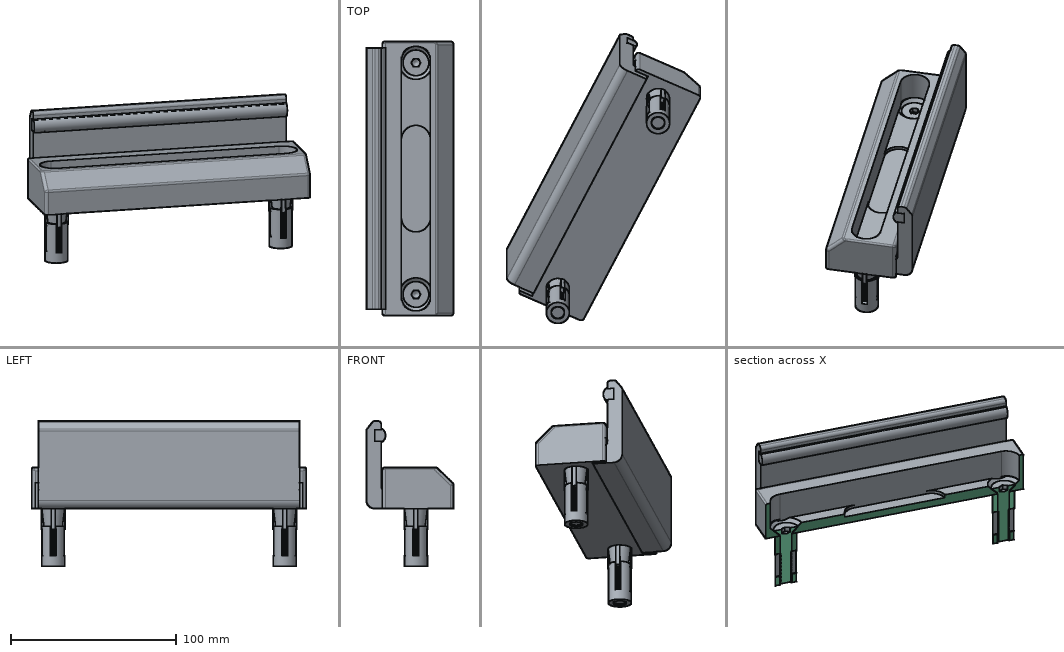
import cadquery as cq
import math

plate_length = 158.0
plate_height = 53.0
plate_thickness = 9.1
foot_height = 11.3
foot_reach = 18.0
inner_radius = 2.0
plate_foot_radius = 5.0
plate_top_radius = 2.0
chamfer_rise = 5.3
chamfer_run = 4.2

strip_height = 44.3
tenon_width = 7.0
tenon_depth = 4.0
strip_head_width = 8.6
strip_head_rise = 2.6

base_front = 9.5
base_length = 166.0
base_height = 25.0
base_back = 52.83
foot_recess_length = 162.0
foot_recess_height = 15.6
slope_run = 10.3
slope_drop = 10.0
edge_radius = 2.0
top_end_radius = 1.0

fixing_x = 30.0
fixing_spacing = 140.0
pocket_width = 17.6
pocket_depth = 18.0
countersink_radius = 10.0
recess_length = 64.4
recess_depth = 2.0
pocket_floor = base_height - pocket_depth

head_diameter = 15.57
screw_diameter = 8.0
thread_root_diameter = 6.8
thread_pitch = 1.25
screw_length = 39.0
hex_across_flats = 5.0
socket_depth = 3.0
clearance_diameter = 8.15
head_top = pocket_floor - (countersink_radius - head_diameter / 2)
head_bottom = head_top - (head_diameter - screw_diameter) / 2
screw_tip = head_top - screw_length

anchor_depth = 34.85
sleeve_diameter = 14.0
sleeve_bore = 11.5
sleeve_top = -10.5
slot_width = 3.3
slot_bottom = -28.4
fin_width = 2.5
fin_diameter = 14.4
cone_bottom = -12.5
fin_angles = (0, 90)


def make_plate():
    """Plate profile in XZ, extruded along Y, with the strip groove cut in its inner face."""
    profile = (
        cq.Workplane("XZ")
        .moveTo(0, 0)
        .lineTo(foot_reach, 0)
        .lineTo(foot_reach, foot_height)
        .lineTo(plate_thickness + inner_radius, foot_height)
        .radiusArc((plate_thickness, foot_height + inner_radius), inner_radius)
        .lineTo(plate_thickness, plate_height)
        .lineTo(chamfer_run, plate_height)
        .lineTo(0, plate_height - chamfer_rise)
        .close()
    )
    plate = profile.extrude(plate_length / 2, both=True)
    plate = plate.edges("|Y and <X and <Z").fillet(plate_foot_radius)
    upper_edges = cq.selectors.BoxSelector(
        (-1, -plate_length, plate_height - chamfer_rise - 1),
        (plate_thickness + 1, plate_length, plate_height + 1),
    )
    plate = plate.edges("|Y").edges(upper_edges).fillet(plate_top_radius)
    groove = cq.Workplane("XY").box(tenon_depth, plate_length, tenon_width).translate(
        (plate_thickness - tenon_depth / 2, 0, strip_height)
    )
    return plate.cut(groove)


def make_strip():
    """Rectangular tenon with a wider head bounded by one arc."""
    groove_floor = plate_thickness - tenon_depth
    half_tenon = tenon_width / 2
    half_head = strip_head_width / 2
    return (
        cq.Workplane("XZ")
        .moveTo(groove_floor, strip_height - half_tenon)
        .lineTo(plate_thickness, strip_height - half_tenon)
        .lineTo(plate_thickness, strip_height - half_head)
        .threePointArc(
            (plate_thickness + strip_head_rise, strip_height),
            (plate_thickness, strip_height + half_head),
        )
        .lineTo(plate_thickness, strip_height + half_tenon)
        .lineTo(groove_floor, strip_height + half_tenon)
        .close()
        .extrude(plate_length / 2, both=True)
    )


def make_base_blank():
    """Block with a sloped back edge and rounded edges everywhere but underneath."""
    slope_start = base_back - slope_run
    slope_end = base_height - slope_drop
    blank = (
        cq.Workplane("XZ")
        .moveTo(base_front, 0)
        .lineTo(base_back, 0)
        .lineTo(base_back, slope_end)
        .lineTo(slope_start, base_height)
        .lineTo(base_front, base_height)
        .close()
        .extrude(base_length / 2, both=True)
    )
    blank = blank.edges("(not |X) and (not <Z)").fillet(edge_radius)
    blank = blank.edges("(<Y or >Y) and >Z").fillet(top_end_radius)
    return blank


def make_base():
    """Base block with its long pocket, the central recess and the recess for the plate foot."""
    base = make_base_blank()
    pocket = (
        cq.Workplane("XY", origin=(fixing_x, 0, pocket_floor))
        .slot2D(fixing_spacing + 2 * countersink_radius, pocket_width, 90)
        .extrude(pocket_depth)
    )
    recess = (
        cq.Workplane("XY", origin=(fixing_x, 0, pocket_floor - recess_depth))
        .slot2D(recess_length, pocket_width, 90)
        .extrude(recess_depth)
    )
    foot_recess = cq.Workplane("XY").box(
        foot_reach - base_front, foot_recess_length, foot_recess_height, centered=(False, True, False)
    ).translate((base_front, 0, 0))
    return base.cut(pocket).cut(recess).cut(foot_recess)


def make_countersink():
    """45 degree countersink opening into the pocket floor, with a clearance hole below."""
    hole_radius = clearance_diameter / 2
    cone_end = pocket_floor - (countersink_radius - hole_radius)
    cutter = (
        cq.Workplane("XZ")
        .polyline([
            (0, 0),
            (hole_radius, 0),
            (hole_radius, cone_end),
            (countersink_radius, pocket_floor),
            (0, pocket_floor),
        ])
        .close()
        .revolve(360, (0, 0, 0), (0, 1, 0))
    )
    walls = cq.Workplane("XY").box(pocket_width, 2 * countersink_radius, 2 * base_height)
    return cutter.intersect(walls)


def make_screw():
    """Countersunk screw; the thread is a row of V grooves one pitch apart."""
    radius = screw_diameter / 2
    root = thread_root_diameter / 2
    points = [(0, head_top), (head_diameter / 2, head_top), (radius, head_bottom)]
    groove_count = math.floor((cone_bottom - screw_tip) / thread_pitch)
    for groove in range(groove_count):
        crest = cone_bottom - groove * thread_pitch
        points.append((radius, crest))
        points.append((root, crest - thread_pitch / 2))
    points += [(radius, cone_bottom - groove_count * thread_pitch), (radius, screw_tip), (0, screw_tip)]
    screw = cq.Workplane("XZ").polyline(points).close().revolve(360, (0, 0, 0), (0, 1, 0))
    corner_diameter = hex_across_flats / math.cos(math.pi / 6)
    socket = (
        cq.Workplane("XY", origin=(0, 0, head_top - socket_depth))
        .polygon(6, corner_diameter)
        .extrude(socket_depth)
    )
    tip_depth = hex_across_flats / 2 * math.tan(math.pi / 6)
    drill_point = cq.Workplane(cq.Solid.makeCone(
        hex_across_flats / 2, 0, tip_depth, cq.Vector(0, 0, head_top - socket_depth), cq.Vector(0, 0, -1)
    ))
    return screw.cut(socket).cut(drill_point)


def make_cone():
    """Tapered plug with four fins that run down into the sleeve slots."""
    cone = (
        cq.Workplane("XZ")
        .polyline([
            (clearance_diameter / 2, 0),
            (sleeve_diameter / 2, 0),
            (sleeve_bore / 2, sleeve_top),
            (sleeve_bore / 2, cone_bottom),
            (clearance_diameter / 2, cone_bottom),
        ])
        .close()
        .revolve(360, (0, 0, 0), (0, 1, 0))
    )
    envelope = cq.Workplane("XY").circle(fin_diameter / 2).circle(clearance_diameter / 2).extrude(cone_bottom)
    for angle in fin_angles:
        blade = cq.Workplane("XY").rect(2 * fin_diameter, fin_width).extrude(cone_bottom)
        cone = cone.union(blade.rotate((0, 0, 0), (0, 0, 1), angle).intersect(envelope))
    return cone


def make_sleeve():
    """Sleeve with a wide mouth for the cone, a narrow bore for the screw and four long slots."""
    sleeve = (
        cq.Workplane("XZ")
        .polyline([
            (screw_diameter / 2, -anchor_depth),
            (sleeve_diameter / 2, -anchor_depth),
            (sleeve_diameter / 2, sleeve_top),
            (sleeve_bore / 2, sleeve_top),
            (sleeve_bore / 2, cone_bottom),
            (screw_diameter / 2, cone_bottom),
        ])
        .close()
        .revolve(360, (0, 0, 0), (0, 1, 0))
    )
    for angle in fin_angles:
        slot = (
            cq.Workplane("XY", origin=(0, 0, slot_bottom))
            .rect(2 * sleeve_diameter, slot_width)
            .extrude(sleeve_top - slot_bottom)
        )
        sleeve = sleeve.cut(slot.rotate((0, 0, 0), (0, 0, 1), angle))
    return sleeve


plate = make_plate()
strip = make_strip()
base = make_base()
screws = []
cones = []
sleeves = []
for side in (-1, 1):
    place = (fixing_x, side * fixing_spacing / 2, 0)
    base = base.cut(make_countersink().translate(place))
    screws.append(make_screw().translate(place).val())
    cones.append(make_cone().translate(place).val())
    sleeves.append(make_sleeve().translate(place).val())

result = cq.Compound.makeCompound([plate.val(), strip.val(), base.val(), *screws, *cones, *sleeves])